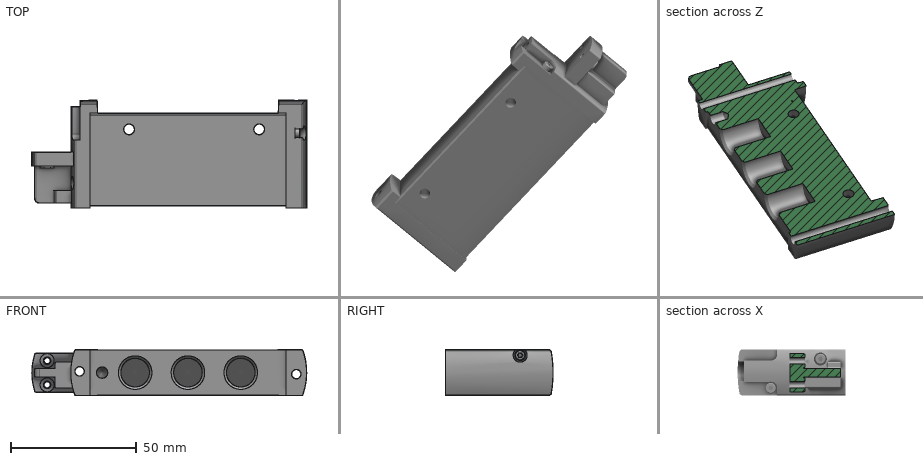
import cadquery as cq
import math

LENGTH = 109.9
DEPTH = 43.1
HEIGHT = 18.4
MID_Z = HEIGHT / 2

BODY_LEFT = 23.3
BODY_RIGHT = 101.5
BODY_FRONT = 0.9
BODY_BACK = 37.9
BODY_CHAMFER = 0.7
BODY_INSET = 0.1

PORT_DIAMETER = 11.4
PORT_MOUTH_DIAMETER = 13.4
PORT_DEPTH = 16.5
PORT_CENTER_X = 62.4
PORT_PITCH = 21.1
DRILL_X = 28.1
DRILL_DIAMETER = 4.5
DRILL_DEPTH = 5.5
DRILL_TIP_DEPTH = 1.3
MOUNT_DIAMETER = 4.2
MOUNT_XS = (38.9, 90.9)
MOUNT_Y = 31.4

CAP_LEFT = 15.6
CAP_END_BULGE = 1.5
CAP_BACK_BULGE = 0.9
CAP_END_FILLET = 0.7
CAP_BACK_CHAMFER = 0.7
FOOT_REACH = 2.8
FOOT_DRAFT = 0.2
CAP_HOLE_DIAMETER = 3.6
LEFT_HOLE_X = 19.1
LEFT_HOLE_Z = 9.7
RIGHT_HOLE_X = 105.7
RIGHT_HOLE_Z = 8.6

STEP_X = 19.3
STEP_FRONT = 27.3
STEP_FILLET = 2.4
RIDGE_BOTTOM = 5.4
RIDGE_TOP = 14.0
RIDGE_BACK = 40.5
SPOTFACE_DIAMETER = 7.9

LEFT_POCKET_DIAMETER = 5.2
LEFT_POCKET_DEPTH = STEP_X - CAP_LEFT
RIGHT_POCKET_DIAMETER = 5.6
RIGHT_POCKET_DEPTH = 4.7
HEAD_DIAMETER = 4.2
HEAD_HEIGHT = 2.1
HEAD_CHAMFER = 0.2
SOCKET_DIAMETER = 1.5
SOCKET_DEPTH = 0.9
LOBE_DIAMETER = 0.5
LOBE_COUNT = 6
LEFT_SCREWS = ((10.0, 14.5), (29.9, 2.9))
RIGHT_SCREW = (29.9, 16.2)

JOINT_X = 17.0
PLATE_FRONT = 16.7
PLATE_THICKNESS = 5.6
PLATE_HEIGHT = 15.6
PLATE_BULGE = 1.3
PLATE_FILLET = 0.7
CONNECTOR_Z = 9.1
BOSS_X = 6.2
BOSS_SPACING = 9.7
BOSS_DIAMETER = 5.6
BOSS_HEIGHT = 0.7
PIN_HOLE_DIAMETER = 2.4
PIN_MOUTH_DIAMETER = 3.0

BLADE_LEFT = 1.1
BLADE_FRONT = 2.0
BLADE_THICKNESS = 3.5
BLADE_CORNER = 2.0
BLADE_EDGE = 0.7
BLOCK_LEFT = 9.3
BLOCK_BOTTOM = 3.0
BLOCK_TOP = 13.4
UPPER_BLOCK_WIDTH = 5.0
BLOCK_FILLET = 0.5


def box(x0, x1, y0, y1, z0, z1):
    """Box between two opposite corners."""
    return cq.Workplane("XY").box(x1 - x0, y1 - y0, z1 - z0, centered=False).translate((x0, y0, z0))


def rod_y(diameter, x, y0, y1, z):
    """Cylinder along Y from y0 to y1."""
    return cq.Workplane("XZ", origin=(x, y0, z)).circle(diameter / 2).extrude(y0 - y1)


def cone_y(start_diameter, end_diameter, x, y, z, depth):
    """Cone along +Y starting at y."""
    return cq.Workplane(
        cq.Solid.makeCone(
            start_diameter / 2, end_diameter / 2, depth, cq.Vector(x, y, z), cq.Vector(0, 1, 0)
        )
    )


def rod_x(diameter, x0, x1, y, z):
    """Cylinder along X from x0 to x1."""
    return cq.Workplane("YZ", origin=(x0, y, z)).circle(diameter / 2).extrude(x1 - x0)


def make_body():
    body = box(BODY_LEFT, BODY_RIGHT, BODY_FRONT, BODY_BACK, BODY_INSET, HEIGHT - BODY_INSET)
    body = body.faces(">Y").edges("|X").chamfer(BODY_CHAMFER)

    mouth_depth = (PORT_MOUTH_DIAMETER - PORT_DIAMETER) / 2
    for index in (-1, 0, 1):
        x = PORT_CENTER_X + index * PORT_PITCH
        body = body.cut(rod_y(PORT_DIAMETER, x, BODY_FRONT, BODY_FRONT + PORT_DEPTH, MID_Z))
        body = body.cut(cone_y(PORT_MOUTH_DIAMETER, PORT_DIAMETER, x, BODY_FRONT, MID_Z, mouth_depth))

    drill_end = BODY_FRONT + DRILL_DEPTH
    body = body.cut(rod_y(DRILL_DIAMETER, DRILL_X, BODY_FRONT, drill_end, MID_Z))
    body = body.cut(cone_y(DRILL_DIAMETER, 0, DRILL_X, drill_end, MID_Z, DRILL_TIP_DEPTH))

    for x in MOUNT_XS:
        body = body.cut(cq.Workplane("XY").center(x, MOUNT_Y).circle(MOUNT_DIAMETER / 2).extrude(HEIGHT))
    return body


def make_cap(outer_x, inner_x):
    """End cap with a bulged outer end, a bulged back and a foot behind the body."""
    inward = math.copysign(1.1, inner_x - outer_x)
    edge_x = outer_x + inward * CAP_END_BULGE
    foot_x = inner_x + inward * FOOT_REACH

    end_profile = (
        cq.Workplane("XZ")
        .moveTo(edge_x, 0)
        .threePointArc((outer_x, MID_Z), (edge_x, HEIGHT))
        .lineTo(foot_x, HEIGHT)
        .lineTo(foot_x, 0)
        .close()
        .extrude(-DEPTH)
    )
    end_side = "<X" if inward > 0 else ">X"
    end_profile = end_profile.faces(end_side).edges("|Y").fillet(CAP_END_FILLET)

    back_edge = DEPTH - CAP_BACK_BULGE
    back_profile = (
        cq.Workplane("YZ", origin=(min(outer_x, foot_x), 0, 0))
        .lineTo(back_edge, 0)
        .threePointArc((DEPTH, MID_Z), (back_edge, HEIGHT))
        .lineTo(0, HEIGHT)
        .close()
        .extrude(abs(foot_x - outer_x))
    )
    back_profile = back_profile.faces(">Y").edges("|X").chamfer(CAP_BACK_CHAMFER)

    plan = (
        cq.Workplane("XY")
        .moveTo(outer_x, 0)
        .lineTo(inner_x, 0)
        .lineTo(inner_x, BODY_BACK)
        .lineTo(foot_x, BODY_BACK)
        .lineTo(foot_x - inward * FOOT_DRAFT, DEPTH)
        .lineTo(outer_x, DEPTH)
        .close()
        .extrude(HEIGHT)
    )
    return plan.intersect(end_profile).intersect(back_profile)


def cut_ridge(cap):
    """Step the rear of the left cap back, leaving a ridge at mid height."""
    lower_step = box(0, STEP_X, STEP_FRONT, DEPTH, 0, RIDGE_BOTTOM)
    upper_step = box(0, STEP_X, STEP_FRONT, DEPTH, RIDGE_TOP, HEIGHT)
    cap = cap.cut(lower_step.edges("|X and <Y and >Z").fillet(STEP_FILLET))
    cap = cap.cut(upper_step.edges("|X and <Y and <Z").fillet(STEP_FILLET))
    cap = cap.cut(box(0, STEP_X, RIDGE_BACK, DEPTH, 0, HEIGHT))
    return cap.cut(rod_y(SPOTFACE_DIAMETER, LEFT_HOLE_X, RIDGE_BACK, DEPTH, LEFT_HOLE_Z))


def add_screw(cap, outer_x, floor_x, pocket_diameter, y, z):
    """Sink a round pocket from the cap end and seat a lobed-socket screw head on its floor."""
    inward = math.copysign(1, floor_x - outer_x)
    head_x = floor_x - inward * HEAD_HEIGHT
    socket_x = head_x + inward * SOCKET_DEPTH
    head_side = "<X" if inward > 0 else ">X"

    head = rod_x(HEAD_DIAMETER, floor_x, head_x, y, z).faces(head_side).edges().chamfer(HEAD_CHAMFER)
    head = head.cut(rod_x(SOCKET_DIAMETER, head_x, socket_x, y, z))
    for index in range(LOBE_COUNT):
        angle = 2 * math.pi * index / LOBE_COUNT
        lobe_y = y + SOCKET_DIAMETER / 2 * math.cos(angle)
        lobe_z = z + SOCKET_DIAMETER / 2 * math.sin(angle)
        head = head.cut(rod_x(LOBE_DIAMETER, head_x, socket_x, lobe_y, lobe_z))
    pocket = rod_x(pocket_diameter, outer_x, floor_x, y, z)
    return cap.cut(pocket).union(head)


def make_left_cap():
    cap = cut_ridge(make_cap(CAP_LEFT, BODY_LEFT))
    for y, z in LEFT_SCREWS:
        cap = add_screw(cap, CAP_LEFT, CAP_LEFT + LEFT_POCKET_DEPTH, LEFT_POCKET_DIAMETER, y, z)
    return cap.cut(rod_y(CAP_HOLE_DIAMETER, LEFT_HOLE_X, 0, DEPTH, LEFT_HOLE_Z))


def make_right_cap():
    cap = make_cap(LENGTH, BODY_RIGHT)
    cap = add_screw(cap, LENGTH, LENGTH - RIGHT_POCKET_DEPTH, RIGHT_POCKET_DIAMETER, *RIGHT_SCREW)
    return cap.cut(rod_y(CAP_HOLE_DIAMETER, RIGHT_HOLE_X, 0, DEPTH, RIGHT_HOLE_Z))


def make_plate():
    """Upright connector plate with two drilled bosses on its front."""
    bottom = CONNECTOR_Z - PLATE_HEIGHT / 2
    top = CONNECTOR_Z + PLATE_HEIGHT / 2
    plate = (
        cq.Workplane("XZ", origin=(0, PLATE_FRONT, 0))
        .moveTo(PLATE_BULGE, bottom)
        .threePointArc((0, CONNECTOR_Z), (PLATE_BULGE, top))
        .lineTo(JOINT_X, top)
        .lineTo(JOINT_X, bottom)
        .close()
        .extrude(-PLATE_THICKNESS)
    )
    plate = plate.faces("<X").edges("|Y").fillet(PLATE_FILLET)

    boss_front = PLATE_FRONT - BOSS_HEIGHT
    mouth_depth = (PIN_MOUTH_DIAMETER - PIN_HOLE_DIAMETER) / 2
    for side in (-1, 1):
        z = CONNECTOR_Z + side * BOSS_SPACING / 2
        plate = plate.union(rod_y(BOSS_DIAMETER, BOSS_X, boss_front, PLATE_FRONT, z))
        plate = plate.cut(rod_y(PIN_HOLE_DIAMETER, BOSS_X, boss_front, PLATE_FRONT + PLATE_THICKNESS, z))
        plate = plate.cut(cone_y(PIN_MOUTH_DIAMETER, PIN_HOLE_DIAMETER, BOSS_X, boss_front, z, mouth_depth))
    return plate


def make_blade():
    """Flat connector blade with a block above and a wider block below."""
    bottom = CONNECTOR_Z - BLADE_THICKNESS / 2
    top = CONNECTOR_Z + BLADE_THICKNESS / 2
    blade = box(BLADE_LEFT, JOINT_X, BLADE_FRONT, PLATE_FRONT, bottom, top)
    blade = blade.edges("<X and |Y").fillet(BLADE_EDGE)
    rounded_plan = box(BLADE_LEFT, JOINT_X, BLADE_FRONT, PLATE_FRONT, bottom, top)
    rounded_plan = rounded_plan.edges("|Z and <X and <Y").fillet(BLADE_CORNER)
    blade = blade.intersect(rounded_plan)

    upper_back = BLADE_FRONT + UPPER_BLOCK_WIDTH
    lower_back = PLATE_FRONT - BOSS_HEIGHT
    upper = box(BLOCK_LEFT, JOINT_X, BLADE_FRONT, upper_back, CONNECTOR_Z, BLOCK_TOP)
    lower = box(BLOCK_LEFT, JOINT_X, BLADE_FRONT, lower_back, BLOCK_BOTTOM, CONNECTOR_Z)
    upper = upper.edges("|Y and <X and >Z").fillet(BLOCK_FILLET)
    lower = lower.edges("|Y and <X and <Z").fillet(BLOCK_FILLET)
    blade = blade.union(upper).union(lower)

    for back, z in ((upper_back, top), (lower_back, bottom)):
        middle = (BLOCK_LEFT, (BLADE_FRONT + back) / 2, z)
        inner_corner = cq.selectors.NearestToPointSelector(middle)
        blade = blade.edges("|Y").edges(inner_corner).fillet(BLOCK_FILLET)
    return blade


connector = make_plate().union(make_blade())

left_end = make_left_cap().union(connector)

result = make_body().union(left_end).union(make_right_cap())